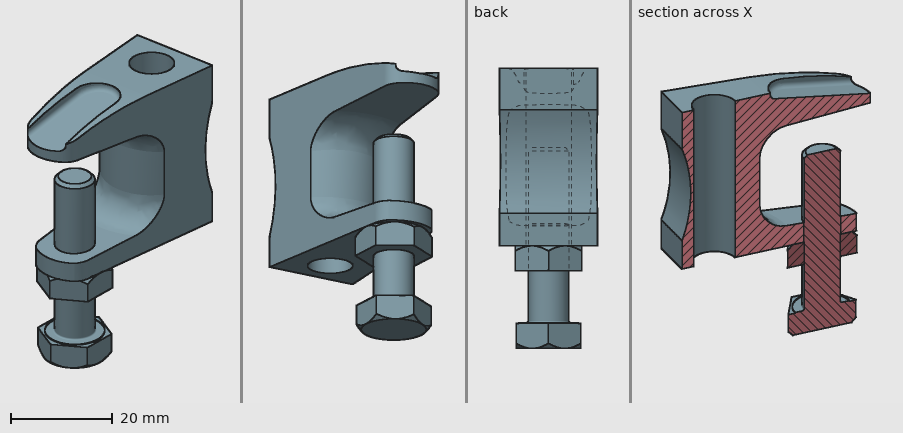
import cadquery as cq
import math


back_width = 19.35
side_slope = 0.1
base_z = 20.2
top_z = 55.15
mid_z = 35.85
top_flat_length = 18.1
top_arc_radius = 70.6
upper_length = 41.0
lower_length = 38.0

nose_corner_length = 4.3
nose_arc_depth = 1.55
upper_nose_half_width = 4.5
lower_nose_half_width = 4.95

upper_tip_z = 48.05
lower_tip_z = 24.15
upper_jaw_slope = 0.054
lower_jaw_slope = 0.045
column_front = 17.0
column_radius = 11.0
throat_fillet = 6.05

hollow_bottom_z = 26.6
hollow_top_z = 46.95
hollow_depth = 1.9

rod_hole_diameter = 8.95
rod_hole_y = -7.05

pocket_half_width = 4.9
pocket_arc_y = -24.15
pocket_fillet = 1.0
pocket_tip_z = 50.25
pocket_slope = 0.167

bolt_y = -30.5
shank_diameter = 8.0
shank_radius = shank_diameter / 2
bolt_end_z = 39.6
bolt_end_chamfer = 0.7
head_across_flats = 12.8
head_height = 4.9
washer_face_radius = 5.9
washer_face_height = 0.15
underhead_fillet = 0.35

nut_across_flats = 13.1
nut_height = 4.9
hex_chamfer_depth = 1.0

cutter_margin = 11.05


def half_width(length):
    """Half-width of the tapered housing at a distance from its back."""
    return back_width / 2 - side_slope * length


def arm_plan(length, nose_half_width, bottom, top):
    """Tapered prism with a rounded front end."""
    corner = length - nose_corner_length
    corner_half_width = half_width(corner)
    arc_y = -(length - nose_arc_depth)
    right_half = (
        cq.Workplane("XY", origin=(0, 0, bottom))
        .lineTo(back_width / 2, 0)
        .lineTo(corner_half_width, -corner)
        .tangentArcPoint((nose_half_width, arc_y), relative=False)
        .threePointArc((0, -length), (-nose_half_width, arc_y))
    )
    chord_x = corner_half_width - nose_half_width
    chord_y = nose_corner_length - nose_arc_depth
    bend = math.atan2(chord_x, chord_y) - math.atan(side_slope)
    sag_ratio = math.tan(bend / 2) / 2
    left_mid = (
        -(corner_half_width + nose_half_width) / 2 - chord_y * sag_ratio,
        (-corner + arc_y) / 2 - chord_x * sag_ratio,
    )
    return (
        right_half.threePointArc(left_mid, (-corner_half_width, -corner))
        .lineTo(-back_width / 2, 0)
        .close()
        .extrude(top - bottom)
    )


def side_profile():
    """Side outline with the curved top and hollow back, extruded across the width."""
    def arc_z(length):
        run = length - top_flat_length
        return top_z - top_arc_radius + math.sqrt(top_arc_radius**2 - run**2)

    arc_middle = (top_flat_length + upper_length) / 2
    hollow_mid_z = (hollow_bottom_z + hollow_top_z) / 2
    return (
        cq.Workplane("YZ")
        .moveTo(0, base_z)
        .lineTo(-upper_length, base_z)
        .lineTo(-upper_length, arc_z(upper_length))
        .threePointArc((-arc_middle, arc_z(arc_middle)), (-top_flat_length, top_z))
        .lineTo(0, top_z)
        .lineTo(0, hollow_top_z)
        .threePointArc((-hollow_depth, hollow_mid_z), (0, hollow_bottom_z))
        .close()
        .extrude(back_width / 2, both=True)
    )


def throat_cutter():
    """Space between the jaws, hollowed by the column and blended into it."""
    front = upper_length + cutter_margin
    column_y = column_radius - column_front

    def upper_z(length):
        return upper_tip_z - upper_jaw_slope * (upper_length - length)

    def lower_z(length):
        return lower_tip_z + lower_jaw_slope * (lower_length - length)

    back = -column_y
    space = (
        cq.Workplane("YZ")
        .polyline([
            (-back, lower_z(back)),
            (-front, lower_z(front)),
            (-front, upper_z(front)),
            (-back, upper_z(back)),
        ])
        .close()
        .extrude(column_radius + cutter_margin, both=True)
    )
    column = cq.Workplane("XY").center(0, column_y).circle(column_radius).extrude(top_z)
    return space.cut(column).edges("%ELLIPSE").fillet(throat_fillet)


def pocket_cutter():
    """Round-ended slot with a sloping floor, open at the tip."""
    slot = (
        cq.Workplane("XY")
        .moveTo(pocket_half_width, pocket_arc_y)
        .threePointArc((0, pocket_arc_y + pocket_half_width), (-pocket_half_width, pocket_arc_y))
        .lineTo(-pocket_half_width, -upper_length - cutter_margin)
        .lineTo(pocket_half_width, -upper_length - cutter_margin)
        .close()
        .extrude(top_z + cutter_margin)
    )

    def floor_z(length):
        return pocket_tip_z + pocket_slope * (upper_length - length)

    front = upper_length + 2 * cutter_margin
    above_floor = (
        cq.Workplane("YZ")
        .polyline([
            (0, floor_z(0)),
            (-front, floor_z(front)),
            (-front, top_z + cutter_margin),
            (0, top_z + cutter_margin),
        ])
        .close()
        .extrude(back_width, both=True)
    )
    return slot.intersect(above_floor).faces("<Z").edges("not <Y").fillet(pocket_fillet)


def make_housing():
    upper_arm = arm_plan(upper_length, upper_nose_half_width, mid_z, top_z)
    lower_arm = arm_plan(lower_length, lower_nose_half_width, base_z, mid_z)
    rod_hole = (
        cq.Workplane("XY").center(0, rod_hole_y).circle(rod_hole_diameter / 2).extrude(top_z)
    )
    bolt_hole = cq.Workplane("XY").center(0, bolt_y).circle(shank_radius).extrude(mid_z)
    return (
        upper_arm.union(lower_arm)
        .intersect(side_profile())
        .cut(throat_cutter())
        .cut(pocket_cutter())
        .cut(rod_hole)
        .cut(bolt_hole)
    )


def hexagon(across_flats, height, chamfered_face):
    """Hexagonal prism on the bolt axis, corners along Y, conically chamfered on one face."""
    corner_radius = across_flats / math.sqrt(3)
    prism = (
        cq.Workplane("XY")
        .polygon(6, 2 * corner_radius)
        .extrude(height)
        .rotate((0, 0, 0), (0, 0, 1), 90)
    )
    cone = (
        cq.Workplane("XY")
        .circle(corner_radius)
        .extrude(height)
        .faces(chamfered_face)
        .chamfer(hex_chamfer_depth, corner_radius - across_flats / 2)
    )
    return prism.intersect(cone).translate((0, bolt_y, 0))


def make_bolt():
    seat_z = head_height + washer_face_height
    washer_face = (
        cq.Workplane("XY", origin=(0, bolt_y, head_height))
        .circle(washer_face_radius)
        .extrude(washer_face_height)
    )
    neck_and_shank = (
        cq.Workplane("XZ")
        .moveTo(0, seat_z)
        .lineTo(shank_radius + underhead_fillet, seat_z)
        .radiusArc((shank_radius, seat_z + underhead_fillet), underhead_fillet)
        .lineTo(shank_radius, bolt_end_z - bolt_end_chamfer)
        .lineTo(shank_radius - bolt_end_chamfer, bolt_end_z)
        .lineTo(0, bolt_end_z)
        .close()
        .revolve(360, (0, 0), (0, 1))
        .translate((0, bolt_y, 0))
    )
    head = hexagon(head_across_flats, head_height, "<Z")
    return head.union(washer_face).union(neck_and_shank)


def make_nut():
    bore = cq.Workplane("XY").center(0, bolt_y).circle(shank_radius).extrude(nut_height)
    nut = hexagon(nut_across_flats, nut_height, ">Z").cut(bore)
    return nut.translate((0, 0, base_z - nut_height))


housing = make_housing()
bolt = make_bolt()
nut = make_nut()

result = cq.Compound.makeCompound([housing.val(), bolt.val(), nut.val()])